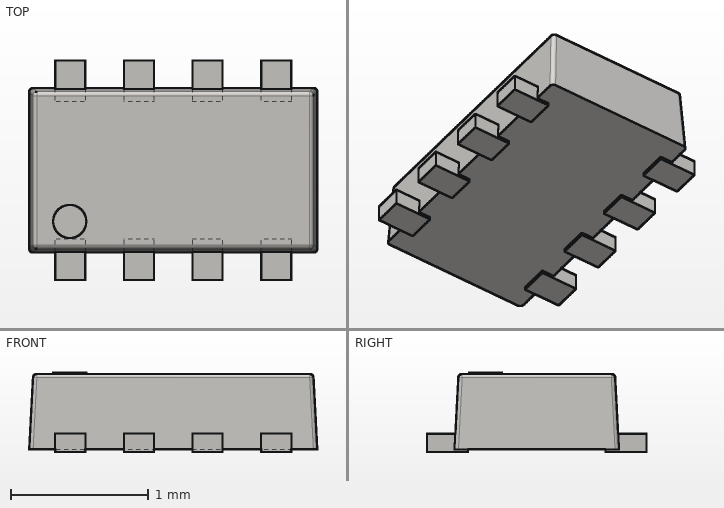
import cadquery as cq

total_width = 1.6
total_height = 0.58

body_length = 2.1
body_width = 1.2
standoff = 0.02
mark_height = 0.01
body_height = total_height - standoff - mark_height
draft_angle = 3.0
edge_radius = 0.03

leads_per_side = 4
lead_pitch = 0.5
lead_width = 0.22
lead_length = 0.3
lead_height = 0.135

mark_diameter = 0.242
mark_from_end = 0.296
mark_from_side = 0.227


def make_body():
    """Tapered block with rounded wall corners and top rim; sharp bottom edge."""
    block = (
        cq.Workplane("XY")
        .workplane(offset=standoff)
        .rect(body_length, body_width)
        .extrude(body_height, taper=draft_angle)
    )
    return block.edges("not(<Z)").fillet(edge_radius)


def make_leads():
    """Rectangular leads, evenly spaced along both long sides."""
    row_y = (total_width - lead_length) / 2
    return (
        cq.Workplane("XY")
        .rarray(lead_pitch, 2 * row_y, leads_per_side, 2)
        .rect(lead_width, lead_length)
        .extrude(lead_height)
    )


def make_mark():
    """Thin raised disc near the -X, -Y corner of the top face."""
    return (
        cq.Workplane("XY")
        .workplane(offset=standoff + body_height)
        .center(mark_from_end - body_length / 2, mark_from_side - body_width / 2)
        .circle(mark_diameter / 2)
        .extrude(mark_height)
    )


result = make_body().union(make_leads()).union(make_mark())